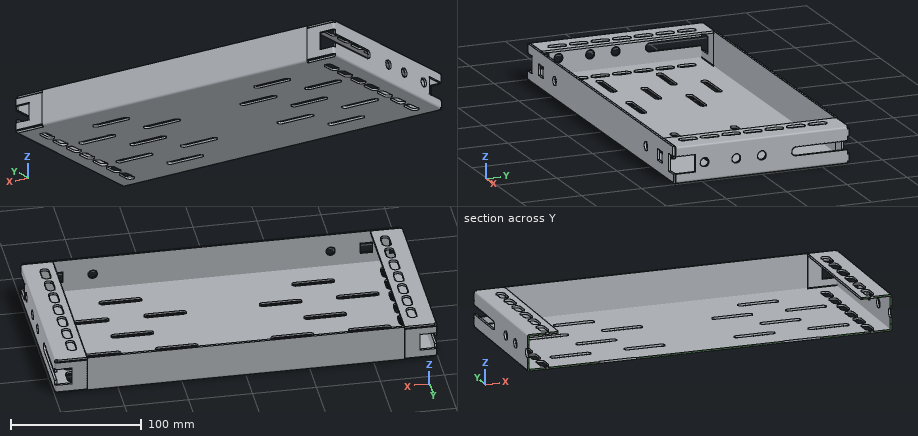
import cadquery as cq

length = 299.0
width = 146.5
height = 30.0
sheet = 1.8
bend_radius = 2.0
inner_bend_radius = bend_radius - sheet

flange_width = 25.5
flange_rear_gap = 1.0
tab_gap = 0.18
skirt_setback = 1.0

end_slot_count = 7
end_slot_pitch = 18.0
end_slot_length = 15.0
end_slot_width = 7.0
end_slot_inset = 16.5
end_slot_shift = -1.0

floor_slot_length = 33.2
floor_slot_width = 5.5
cluster_x = 75.3
aligned_row_pitch = 50.0
floor_row_pitch = aligned_row_pitch / 2
stagger = 30.2

opening_z = height / 2
hole_diameter = 7.2
end_hole_places = (0.0, -21.2, -47.5)
end_wall_slot_start = 24.8
front_hole_x = 93.0
square_hole_x = 121.0
square_hole_length = 9.5
square_hole_height = 9.0
notch_height = 14.0
front_notch_length = 10.5
rear_notch_length = 13.5
end_notch_length = 18.0

half_length = length / 2
half_width = width / 2
inner_half_width = half_width - sheet
bend_start_y = half_width - bend_radius
mouth_half_length = half_length - flange_width
notch_bottom = opening_z - notch_height / 2
notch_top = opening_z + notch_height / 2


def box(x_range, y_range, z_range):
    """Axis-aligned block between pairs of limits."""
    size = [high - low for low, high in (x_range, y_range, z_range)]
    corner = (x_range[0], y_range[0], z_range[0])
    return cq.Workplane("XY").box(*size, centered=False).translate(corner)


def end_channel():
    """Floor, both end walls and both flanges as one C-shaped folded strip."""
    strip_width = 2 * bend_start_y
    outer = (
        cq.Workplane("XY").box(length, strip_width, height, centered=(True, True, False))
        .edges("|Y").fillet(bend_radius)
    )
    cavity = (
        cq.Workplane("XY", origin=(0, 0, sheet))
        .box(length - 2 * sheet, strip_width, height - 2 * sheet, centered=(True, True, False))
        .edges("|Y").fillet(inner_bend_radius)
    )
    mouth = box(
        (-mouth_half_length, mouth_half_length), (-half_width, half_width), (height / 2, height)
    )
    return outer.cut(cavity).cut(mouth)


def flange_extensions():
    """Flat ends of the flanges, reaching over the rear corner tabs."""
    extension = box(
        (-half_length + bend_radius, -mouth_half_length),
        (bend_start_y, half_width - flange_rear_gap),
        (height - sheet, height),
    )
    return extension.union(extension.mirror("YZ"))


def long_wall(half_span, top):
    """Wall along the rear side, bent up from the floor."""
    x_range = (-half_span, half_span)
    bent_edge = "|X and >Y and <Z"
    block = box(x_range, (0, half_width), (0, top)).edges(bent_edge).fillet(bend_radius)
    hollow = box(x_range, (0, inner_half_width), (sheet, top)).edges(bent_edge).fillet(inner_bend_radius)
    trim = box(x_range, (bend_start_y, half_width), (0, top))
    return block.cut(hollow).intersect(trim)


def front_wall():
    """Long wall with wider lower ends that close the corners below the notches."""
    wall = long_wall(half_length - bend_radius, height)
    skirt = long_wall(half_length - skirt_setback, notch_bottom)
    return wall.union(skirt).mirror("XZ")


def rear_tabs():
    """Corner tabs bent from the end walls, flush with the rear wall."""
    x_range = (-half_length, -mouth_half_length)
    inner_x_range = (-half_length + sheet, -mouth_half_length)
    z_range = (bend_radius, height - bend_radius)
    bent_edge = "|Z and <X and >Y"
    block = box(x_range, (0, half_width), z_range).edges(bent_edge).fillet(bend_radius)
    hollow = box(inner_x_range, (0, inner_half_width), z_range).edges(bent_edge).fillet(inner_bend_radius)
    trim = box(x_range, (bend_start_y, half_width), z_range)
    tab = block.cut(hollow).intersect(trim)
    return tab.union(tab.mirror("YZ"))


def end_slots():
    """Rows of holes elongated along Y, one row at each end."""
    row_x = half_length - end_slot_inset
    first_y = end_slot_shift - (end_slot_count - 1) / 2 * end_slot_pitch
    points = [
        (side * row_x, first_y + index * end_slot_pitch)
        for side in (-1, 1)
        for index in range(end_slot_count)
    ]
    return cq.Workplane("XY").pushPoints(points).slot2D(end_slot_length, end_slot_width, 90).extrude(height)


def floor_slots():
    """Slots elongated along X: single ones in alternate rows, pairs in the rows between."""
    points = []
    for side in (-1, 1):
        for row in (-2, 0, 2):
            points.append((side * cluster_x, row * floor_row_pitch))
        for row in (-1, 1):
            for offset in (-stagger, stagger):
                points.append((side * cluster_x + offset, row * floor_row_pitch))
    return cq.Workplane("XY").pushPoints(points).slot2D(floor_slot_length, floor_slot_width).extrude(sheet)


def end_wall_openings():
    """Round holes and rear slots, running through both end walls."""
    section = cq.Workplane("YZ", origin=(-half_length, 0, opening_z))
    holes = section.pushPoints([(y, 0) for y in end_hole_places]).circle(hole_diameter / 2).extrude(length)
    slot_length = 2 * (half_width - end_wall_slot_start)
    slots = section.center(half_width, 0).slot2D(slot_length, hole_diameter).extrude(length)
    inside = box((-half_length, half_length), (-half_width, inner_half_width), (0, height))
    return holes.union(slots.intersect(inside))


def front_wall_openings():
    """Round and square holes through the front wall only."""
    section = cq.Workplane("XZ", origin=(0, -inner_half_width, opening_z))
    holes = section.pushPoints([(-front_hole_x, 0), (front_hole_x, 0)]).circle(hole_diameter / 2).extrude(sheet)
    squares = (
        section.pushPoints([(-square_hole_x, 0), (square_hole_x, 0)])
        .rect(square_hole_length, square_hole_height).extrude(sheet)
    )
    return holes.union(squares)


def corner_notches():
    """Rectangular openings wrapped round the corners."""
    z_range = (notch_bottom, notch_top)
    front = box(
        (-half_length, -half_length + front_notch_length),
        (-half_width, -half_width + end_notch_length),
        z_range,
    )
    rear = box((-half_length, -half_length + rear_notch_length), (bend_start_y, half_width), z_range)
    notches = front.union(rear)
    return notches.union(notches.mirror("YZ"))


result = (
    end_channel()
    .union(flange_extensions())
    .union(front_wall())
    .union(long_wall(mouth_half_length - tab_gap, height))
    .union(rear_tabs())
)
for cutter in (end_slots(), floor_slots(), end_wall_openings(), front_wall_openings(), corner_notches()):
    result = result.cut(cutter)